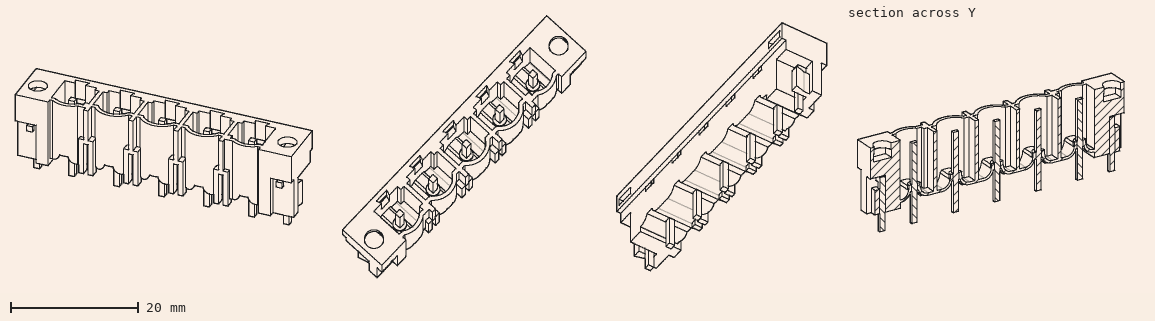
import cadquery as cq
import math

length = 46.95
height = 11.8
body_depth = 7.65
lip_depth = 8.4
lip_bottom = 8.4
pole_count = 5
pitch = 7.65
pin_y = 3.75
pin_size = 1.0
pin_tail = 3.15
contact_top = 10.75

end_block_length = 5.6
screw_x = 21.23
screw_radius = 1.5
screw_depth = 1.2
nut_slot_width = 3.2
nut_slot_height = 1.3
notch_length = 3.55
notch_depth = 1.0
notch_top = 6.95
side_recess_front = 2.72
side_recess_top = 6.4

anchor_top = 6.3
anchor_tip_y = 0.38
arm_root_x = 22.65
arm_tip_x = 23.1
arm_bend_y = 3.7
arm_tip_y = 5.4
arm_height = 4.25

cell_outer_radius = 3.7
cell_inner_radius = 3.05
inner_front_y = 1.4
outer_front_y = 0.7
chamber_half_width = 2.75
end_wall_x = 2.65
chamber_back_y = 6.8
end_chamber_front_y = 1.4
pocket_front_y = 2.1
pocket_back_y = 6.1
web = 0.7
groove_mouth = 1.8
groove_back = 2.4
groove_bottom = 7.6

underside = 1.0
lobe_x = 2.5
arch_half_width = 0.7
arch_top = 2.4
floor_thickness = 0.5
hump_side_x = 1.17
hump_flat_x = 0.75
hump_top = 3.15
collar_radius = 1.1
collar_height = 0.45

rib_width = 0.75
bracket_width = 2.45
bracket_top = 6.3
slot_top = 5.55

half_length = length / 2
middle_half = half_length - end_block_length
pole_span = (pole_count - 1) * pitch
pole_xs = [i * pitch - pole_span / 2 for i in range(pole_count)]
wall_xs = [x + pitch / 2 for x in pole_xs[:-1]]
sides = (-1, 1)
anchor_outer_x = screw_x + pin_size / 2
anchor_inner_x = screw_x - pin_size / 2
pin_back_y = pin_y + pin_size / 2
arch_rise = arch_top - underside
lobe_radius = ((lobe_x - arch_half_width) ** 2 + arch_rise ** 2) / (2 * arch_rise)
lobe_z = underside + lobe_radius
floor_z = underside + floor_thickness


def box(x0, x1, y0, y1, z0, z1):
    """Block between two opposite corners; each X pair may be in either order."""
    left = min(x0, x1)
    return cq.Workplane("XY").box(abs(x1 - x0), y1 - y0, z1 - z0, centered=False).translate((left, y0, z0))


def arc_middle(center, start, end):
    """Point halfway along the short arc from start to end around center."""
    dx = start[0] + end[0] - 2 * center[0]
    dz = start[1] + end[1] - 2 * center[1]
    radius = math.dist(center, start)
    reach = radius / math.hypot(dx, dz)
    return center[0] + dx * reach, center[1] + dz * reach


def along_y(profile):
    """Extrude a closed XZ profile through the whole depth of the housing."""
    return profile.extrude(-lip_depth)


def contact_pin(x):
    half = pin_size / 2
    return box(x - half, x + half, pin_y - half, pin_y + half, -pin_tail, contact_top)


def anchor(side):
    """L-shaped pin: a vertical leg and a horizontal leg through the front wall."""
    x0 = side * anchor_inner_x
    x1 = side * anchor_outer_x
    leg = box(x0, x1, pin_back_y - pin_size, pin_back_y, -pin_tail, anchor_top)
    foot = box(x0, x1, anchor_tip_y, pin_back_y, anchor_top - pin_size, anchor_top)
    return leg.union(foot)


def outer_block():
    """Housing without its openings: rear body, lip, round cell fronts and flat end-cell fronts."""
    block = box(-half_length, half_length, inner_front_y, body_depth, 0, height)
    block = block.union(box(-half_length, half_length, inner_front_y, lip_depth, lip_bottom, height))
    for side in sides:
        block = block.union(box(side * wall_xs[-1], side * half_length, outer_front_y, body_depth, 0, height))
        block = block.union(box(side * middle_half, side * half_length, 0, body_depth, 0, height))
    for x in pole_xs:
        block = block.union(cq.Workplane("XY").center(x, pin_y).circle(cell_outer_radius).extrude(height))
    return block


def underside_cut():
    """Space below the cells: a flat slab with an arch over each pin."""
    cut = box(-middle_half, middle_half, 0, lip_depth, 0, underside)
    start = (lobe_x, underside)
    end = (arch_half_width, arch_top)
    middle = arc_middle((lobe_x, lobe_z), start, end)
    for x in pole_xs:
        arch = (
            cq.Workplane("XZ", origin=(x, 0, 0))
            .moveTo(-lobe_x, 0)
            .lineTo(-lobe_x, underside)
            .threePointArc((-middle[0], middle[1]), (-end[0], end[1]))
            .lineTo(*end)
            .threePointArc(middle, start)
            .lineTo(lobe_x, 0)
            .close()
        )
        cut = cut.union(along_y(arch))
    return cut


def floor_hump(x):
    """Raised cell floor around a pin, running from front to rear, with a round collar."""
    foot = (lobe_x, floor_z)
    shoulder = (hump_side_x, floor_z + lobe_x - hump_side_x)
    middle = arc_middle((lobe_x, shoulder[1]), foot, shoulder)
    hump = (
        cq.Workplane("XZ", origin=(x, 0, 0))
        .moveTo(-foot[0], foot[1])
        .threePointArc((-middle[0], middle[1]), (-shoulder[0], shoulder[1]))
        .lineTo(-hump_flat_x, hump_top)
        .lineTo(hump_flat_x, hump_top)
        .lineTo(*shoulder)
        .threePointArc(middle, foot)
        .close()
    )
    collar = (
        cq.Workplane("XY", origin=(x, pin_y, floor_z))
        .circle(collar_radius)
        .extrude(hump_top + collar_height - floor_z)
    )
    return along_y(hump).union(collar)


def chamber(index):
    """Open space inside a cell, above its floor."""
    x = pole_xs[index]
    is_first = index == 0
    is_last = index == pole_count - 1
    x0 = x - (end_wall_x if is_first else chamber_half_width)
    x1 = x + (end_wall_x if is_last else chamber_half_width)
    front_y = end_chamber_front_y if is_first or is_last else pocket_front_y
    space = box(x0, x1, front_y, chamber_back_y, floor_z, height)
    round_front = (
        cq.Workplane("XY", origin=(x, pin_y, floor_z))
        .circle(cell_inner_radius)
        .extrude(height - floor_z)
        .intersect(box(x0, x1, 0, pin_y, floor_z, height))
    )
    space = space.union(round_front)
    pocket_reach = (pitch - web) / 2
    if not is_first:
        space = space.union(box(x, x - pocket_reach, pocket_front_y, pocket_back_y, floor_z, height))
    if not is_last:
        space = space.union(box(x, x + pocket_reach, pocket_front_y, pocket_back_y, floor_z, height))
    return space.cut(floor_hump(x))


def dovetail_groove(x):
    """Groove in the rear wall, open to the rear below the lip."""
    return (
        cq.Workplane("XY", origin=(x, 0, groove_bottom))
        .moveTo(-groove_mouth / 2, chamber_back_y)
        .lineTo(groove_mouth / 2, chamber_back_y)
        .lineTo(groove_back / 2, body_depth)
        .lineTo(-groove_back / 2, body_depth)
        .close()
        .extrude(height - groove_bottom)
    )


def rib(x):
    """Rib in front of a cell wall, widening to a two-legged bracket at the bottom."""
    half = rib_width / 2
    upper = box(x - half, x + half, 0, inner_front_y, slot_top, height)
    bracket = box(x - bracket_width / 2, x + bracket_width / 2, 0, inner_front_y, 0, bracket_top)
    return upper.union(bracket)


def rib_slot(x):
    half = rib_width / 2
    return box(x - half, x + half, 0, inner_front_y, 0, slot_top)


def end_openings(side):
    """Screw hole with its nut slot, front corner notch and side recess of one end block."""
    screw_hole = (
        cq.Workplane("XY", origin=(side * screw_x, pin_y, height - screw_depth))
        .circle(screw_radius)
        .extrude(screw_depth)
    )
    nut_half = nut_slot_width / 2
    nut_top = height - screw_depth
    nut_slot = box(
        side * screw_x - nut_half,
        side * screw_x + nut_half,
        pin_y - nut_half,
        lip_depth,
        nut_top - nut_slot_height,
        nut_top,
    )
    outer_x = side * half_length
    notch = box(outer_x - side * notch_length, outer_x, 0, notch_depth, 0, notch_top)
    recess = box(side * anchor_inner_x, outer_x, side_recess_front, lip_depth, 0, side_recess_top)
    return screw_hole.union(nut_slot).union(notch).union(recess)


def anchor_arm(side):
    """Arm behind the front wall that holds the anchor against the side of the recess."""
    return (
        cq.Workplane("XY")
        .moveTo(side * anchor_outer_x, side_recess_front)
        .lineTo(side * arm_root_x, side_recess_front)
        .lineTo(side * arm_root_x, arm_bend_y)
        .lineTo(side * arm_tip_x, arm_tip_y)
        .lineTo(side * anchor_outer_x, arm_tip_y)
        .close()
        .extrude(arm_height)
    )


contact_pins = [contact_pin(x) for x in pole_xs]
anchors = [anchor(side) for side in sides]

housing = outer_block().cut(underside_cut())
for x in wall_xs:
    housing = housing.union(rib(x)).cut(rib_slot(x))
for index, x in enumerate(pole_xs):
    housing = housing.cut(chamber(index)).cut(dovetail_groove(x))
for side in sides:
    housing = housing.cut(end_openings(side)).union(anchor_arm(side))
for pin in contact_pins + anchors:
    housing = housing.cut(pin)

result = cq.Compound.makeCompound(
    [housing.val()] + [pin.val() for pin in contact_pins] + [pin.val() for pin in anchors]
)